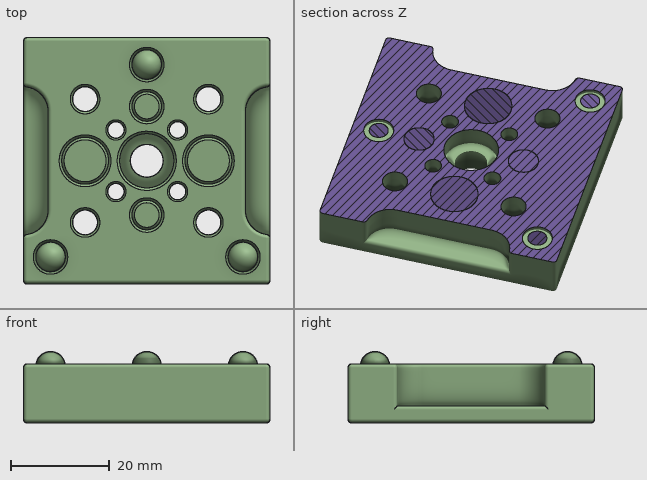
import cadquery as cq
import math

plate_side = 50.0
plate_height = 12.0
edge_radius = 0.8

pocket_length = 30.0
pocket_depth = 5.0
pocket_floor_z = 3.5

centre_hole_diameter = 6.6
counterbore_diameter = 11.0
counterbore_depth = 6.8

outer_hole_diameter = 5.0
outer_hole_spacing = 25.0
inner_hole_diameter = 3.3
inner_hole_spacing = 12.5

mouth_chamfer = 0.5
small_mouth_chamfer = 0.4
magnet_chamfer = 0.5

ball_diameter = 6.0
ball_rise = 2.5
ball_offset = 19.5
ball_seat_depth = ball_diameter - ball_rise
ball_centres = [(0, ball_offset), (-ball_offset, -ball_offset), (ball_offset, -ball_offset)]

large_magnet_diameter = 9.5
large_magnet_offset = 12.5
small_magnet_diameter = 6.0
small_magnet_offset = 11.0
magnet_seat_depth = 5.0
large_magnet_centres = [(-large_magnet_offset, 0), (large_magnet_offset, 0)]
small_magnet_centres = [(0, -small_magnet_offset), (0, small_magnet_offset)]


def square_pattern(spacing):
    """Four centres at the corners of a square around the plate axis."""
    half = spacing / 2
    return [(x, y) for x in (-half, half) for y in (-half, half)]


def opening_cutter(diameter, depth, chamfer):
    """Round cutter going down from the plate top, flared at its mouth."""
    radius = diameter / 2
    bore = cq.Workplane("XY").circle(radius).extrude(-depth)
    flare = cq.Solid.makeCone(radius, radius + chamfer, chamfer, pnt=cq.Vector(0, 0, -chamfer))
    return bore.union(cq.Workplane(obj=flare)).translate((0, 0, plate_height))


def cut_openings(plate, centres, diameter, depth, chamfer):
    """Cut the same flared opening at each centre."""
    cutter = opening_cutter(diameter, depth, chamfer)
    for x, y in centres:
        plate = plate.cut(cutter.translate((x, y, 0)))
    return plate


def pocket_cutter():
    """Cutter for the +X pocket: flat inner wall, quarter-round ends that meet the +X face."""
    face_x = plate_side / 2
    wall_x = face_x - pocket_depth
    end_y = pocket_length / 2
    arc_y = end_y - pocket_depth
    arc_mid = pocket_depth * math.sqrt(0.5)
    return (
        cq.Workplane("XY", origin=(0, 0, pocket_floor_z))
        .moveTo(face_x, -end_y)
        .threePointArc((face_x - arc_mid, -arc_y - arc_mid), (wall_x, -arc_y))
        .lineTo(wall_x, arc_y)
        .threePointArc((face_x - arc_mid, arc_y + arc_mid), (face_x, end_y))
        .close()
        .extrude(plate_height - pocket_floor_z)
    )


def make_plate():
    """Plate with two side pockets, all its holes, and the seats for balls and magnets."""
    plate = cq.Workplane("XY").box(plate_side, plate_side, plate_height, centered=(True, True, False))
    pocket = pocket_cutter()
    plate = plate.cut(pocket).cut(pocket.mirror("YZ"))

    plate = plate.faces("<X or >X or <Y or >Y or <Z or >Z").edges().fillet(edge_radius)

    plate = plate.cut(cq.Workplane("XY").circle(centre_hole_diameter / 2).extrude(plate_height))
    plate = cut_openings(plate, [(0, 0)], counterbore_diameter, counterbore_depth, mouth_chamfer)

    outer_holes = square_pattern(outer_hole_spacing)
    inner_holes = square_pattern(inner_hole_spacing)
    plate = cut_openings(plate, outer_holes, outer_hole_diameter, plate_height, mouth_chamfer)
    plate = cut_openings(plate, inner_holes, inner_hole_diameter, plate_height, small_mouth_chamfer)

    plate = cut_openings(plate, ball_centres, ball_diameter, ball_seat_depth, mouth_chamfer)
    plate = cut_openings(plate, large_magnet_centres, large_magnet_diameter, magnet_seat_depth, mouth_chamfer)
    plate = cut_openings(plate, small_magnet_centres, small_magnet_diameter, magnet_seat_depth, mouth_chamfer)
    return plate


def make_ball(x, y):
    """Ball resting on its seat floor and standing above the plate top."""
    centre_z = plate_height + ball_rise - ball_diameter / 2
    return cq.Workplane("XY").sphere(ball_diameter / 2).translate((x, y, centre_z))


def make_magnet(x, y, diameter):
    """Disc that fills its seat, flush with the plate top, with a chamfered top rim."""
    floor_z = plate_height - magnet_seat_depth
    disc = cq.Workplane("XY").circle(diameter / 2).extrude(magnet_seat_depth)
    return disc.faces(">Z").edges().chamfer(magnet_chamfer).translate((x, y, floor_z))


plate = make_plate()
balls = [make_ball(x, y).val() for x, y in ball_centres]
large_magnets = [make_magnet(x, y, large_magnet_diameter).val() for x, y in large_magnet_centres]
small_magnets = [make_magnet(x, y, small_magnet_diameter).val() for x, y in small_magnet_centres]

result = cq.Compound.makeCompound([plate.val(), *balls, *large_magnets, *small_magnets])